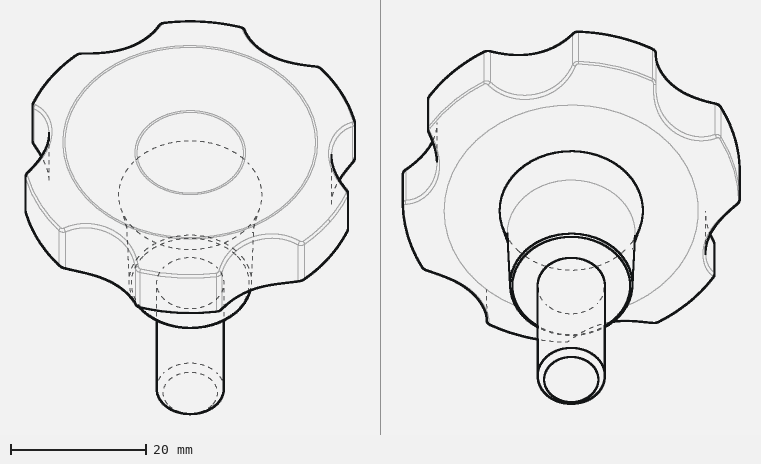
import cadquery as cq
import math

total_height = 57.0
head_thickness = 12.0
hub_height = 20.0
hub_flare_height = 6.0

head_radius = 24.95
crown_flat_radius = 18.8
crown_top_drop = 1.5
crown_bottom_rise = 2.2
underside_flat_radius = 18.8
rim_fillet = 0.5

dish_radius = 18.7
dish_floor_radius = 8.05
dish_depth = 2.4
dish_fillet = 1.4

scallop_count = 6
scallop_radius = 8.65
scallop_floor_radius = 21.0
scallop_corner_fillet = 0.95

hub_top_radius = 10.6
hub_waist_radius = 9.45
hub_bottom_radius = 9.05
hub_chamfer = 0.35
stud_radius = 10.0 / 2
stud_chamfer = 0.95

head_bottom = total_height - head_thickness
hub_bottom = head_bottom - hub_height
hub_waist = head_bottom - hub_flare_height


def crown_midpoint(flat_radius, height):
    """Middle of a crown arc that leaves its flat face tangentially: (radius, offset from flat face)."""
    width = head_radius - flat_radius
    arc_radius = (width**2 + height**2) / (2 * height)
    half_angle = math.asin(width / arc_radius) / 2
    radius = flat_radius + arc_radius * math.sin(half_angle)
    return radius, arc_radius * (1 - math.cos(half_angle))


def make_head():
    """Crowned disc with scallops cut through its rim."""
    top_mid_radius, top_mid_drop = crown_midpoint(crown_flat_radius, crown_top_drop)
    low_mid_radius, low_mid_rise = crown_midpoint(underside_flat_radius, crown_bottom_rise)
    disc = (
        cq.Workplane("XZ")
        .moveTo(0, head_bottom)
        .lineTo(underside_flat_radius, head_bottom)
        .threePointArc(
            (low_mid_radius, head_bottom + low_mid_rise),
            (head_radius, head_bottom + crown_bottom_rise),
        )
        .lineTo(head_radius, total_height - crown_top_drop)
        .threePointArc(
            (top_mid_radius, total_height - top_mid_drop),
            (crown_flat_radius, total_height),
        )
        .lineTo(0, total_height)
        .close()
        .revolve(360, (0, 0), (0, 1))
    )
    scallops = (
        cq.Workplane("XY", origin=(0, 0, head_bottom))
        .polarArray(scallop_floor_radius + scallop_radius, 90, 360, scallop_count)
        .circle(scallop_radius)
        .extrude(head_thickness)
    )
    lobed = disc.cut(scallops).edges("|Z").fillet(scallop_corner_fillet)
    lower_edge = (head_radius, 0, head_bottom + crown_bottom_rise)
    upper_edge = (head_radius, 0, total_height - crown_top_drop)
    lower_rim = cq.selectors.NearestToPointSelector(lower_edge)
    upper_rim = cq.selectors.NearestToPointSelector(upper_edge)
    return lobed.edges(lower_rim + upper_rim).fillet(rim_fillet)


def make_dish():
    """Cutter for the dish in the top of the head."""
    return (
        cq.Workplane("XZ")
        .moveTo(0, total_height - dish_depth)
        .lineTo(dish_floor_radius, total_height - dish_depth)
        .lineTo(dish_radius, total_height)
        .lineTo(0, total_height)
        .close()
        .revolve(360, (0, 0), (0, 1))
    )


def make_hub():
    """Tapered hub that flares out under the head."""
    return (
        cq.Workplane("XZ")
        .moveTo(0, hub_bottom)
        .lineTo(hub_bottom_radius - hub_chamfer, hub_bottom)
        .lineTo(hub_bottom_radius, hub_bottom + hub_chamfer)
        .lineTo(hub_waist_radius, hub_waist)
        .lineTo(hub_top_radius, head_bottom)
        .lineTo(0, head_bottom)
        .close()
        .revolve(360, (0, 0), (0, 1))
    )


def make_stud():
    """Plain stud with a chamfered tip."""
    return cq.Workplane("XY").circle(stud_radius).extrude(hub_bottom).faces("<Z").chamfer(stud_chamfer)


def make_dished_head():
    """Head with the dish cut into its top and both dish edges softened."""
    dished = make_head().cut(make_dish())
    return dished.faces("%CONE").edges().fillet(dish_fillet)


result = make_dished_head().union(make_hub()).union(make_stud())